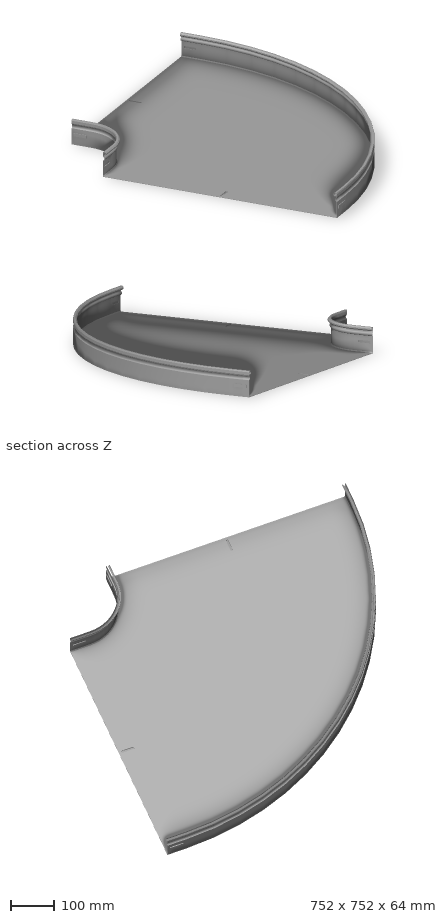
import cadquery as cq

overall_size = 752.0
overall_height = 64.0
emboss_depth = 1.9
sheet = 1.0

inner_wall = 151.0
outer_wall = overall_size - emboss_depth
tray_middle = (inner_wall + outer_wall) / 2
straight_length = 50.0

wall_height = overall_height - emboss_depth
bend_bevel = 2.0
groove_depth = 4.0
groove_bottom = wall_height - 22.0
groove_middle = wall_height - 17.0
lip_depth = 1.5
lip_bottom = wall_height - 13.0
lip_face_bottom = wall_height - 10.0
lip_face_top = wall_height - 3.0
lip_bevel = 1.1

rim_width = 9.0
rim_bevel = 3.0
rim_shoulder = wall_height - rim_bevel
rim_waist = rim_shoulder - rim_bevel
rim_end = rim_waist - rim_bevel

rib_length = 33.0
rib_width = 7.5
rib_end_gap = 6.0
rib_middle = rib_end_gap + rib_length / 2
wall_rib_height = 25.5


def bend_line(wall):
    """Line of a wall from the Y = 0 end to the X = 0 end: straight, quarter arc, straight."""
    radius = wall - straight_length
    arc_middle = straight_length + radius * 0.5**0.5
    return (
        cq.Workplane("XY")
        .moveTo(wall, 0)
        .lineTo(wall, straight_length)
        .threePointArc((arc_middle, arc_middle), (straight_length, wall))
        .lineTo(0, wall)
    )


def bend_plate(wall):
    """Sheet that fills the region between the origin and a wall."""
    return bend_line(wall).lineTo(0, 0).close().extrude(sheet)


def side_wall(wall, outward):
    """Wall with a groove and a rim that curls in over the tray.

    Outward is the direction along X, +1 or -1, that points away from the tray.
    """
    def at(depth, height):
        """Section point at a distance from the outer face towards the tray."""
        return (wall - outward * depth, height)

    rim = [
        at(lip_depth, lip_bottom),
        at(0, lip_face_bottom),
        at(0, lip_face_top),
        at(lip_bevel, wall_height),
        at(rim_width - rim_bevel, wall_height),
        at(rim_width, rim_shoulder),
        at(rim_width, rim_waist),
        at(rim_width - rim_bevel, rim_end),
        at(rim_width - rim_bevel - sheet, rim_end),
        at(rim_width - sheet, rim_waist),
        at(rim_width - sheet, rim_shoulder),
        at(rim_width - rim_bevel, wall_height - sheet),
        at(lip_bevel + sheet, wall_height - sheet),
        at(sheet, lip_face_top),
        at(sheet, lip_face_bottom),
        at(lip_depth + sheet, lip_bottom),
    ]
    section = (
        cq.Workplane("XZ")
        .moveTo(*at(0, 0))
        .lineTo(*at(0, groove_bottom))
        .threePointArc(at(groove_depth, groove_middle), rim[0])
        .polyline(rim)
        .threePointArc(at(groove_depth + sheet, groove_middle), at(sheet, groove_bottom))
        .lineTo(*at(sheet, sheet + bend_bevel))
        .lineTo(*at(sheet + bend_bevel, sheet))
        .lineTo(*at(sheet + bend_bevel, 0))
        .close()
    )
    return section.sweep(bend_line(wall))


def rib_block(length, width, bottom, top):
    """Upright block centred on the Z axis, long side along Y."""
    return cq.Workplane("XY").workplane(offset=bottom).rect(width, length).extrude(top - bottom)


def rib_bump():
    """Solid of a rib on a sheet whose upper face lies in Z = sheet; the rib points down."""
    return rib_block(rib_length, rib_width, -emboss_depth, sheet)


def rib_hollow():
    """Hollow behind a rib, leaving one sheet thickness of material."""
    return rib_block(rib_length - 2 * sheet, rib_width - 2 * sheet, sheet - emboss_depth, sheet)


def at_first_end(shape):
    """Copies of a rib shape on the floor and on both walls at the Y = 0 end."""
    on_floor = shape.translate((tray_middle, rib_middle, 0))
    copies = [on_floor]
    for wall, tilt in ((outer_wall, -90), (inner_wall, 90)):
        upright = shape.rotate((0, 0, 0), (0, 1, 0), tilt)
        copies.append(upright.translate((wall, rib_middle, wall_rib_height)))
    return copies


def at_both_ends(shape):
    """The rib shapes of the Y = 0 end and their mirror images at the X = 0 end."""
    first_end = at_first_end(shape)
    return first_end + [rib.mirror((1, -1, 0)) for rib in first_end]


result = bend_plate(outer_wall).cut(bend_plate(inner_wall))
result = result.union(side_wall(outer_wall, 1)).union(side_wall(inner_wall, -1))
for bump in at_both_ends(rib_bump()):
    result = result.union(bump)
for hollow in at_both_ends(rib_hollow()):
    result = result.cut(hollow)